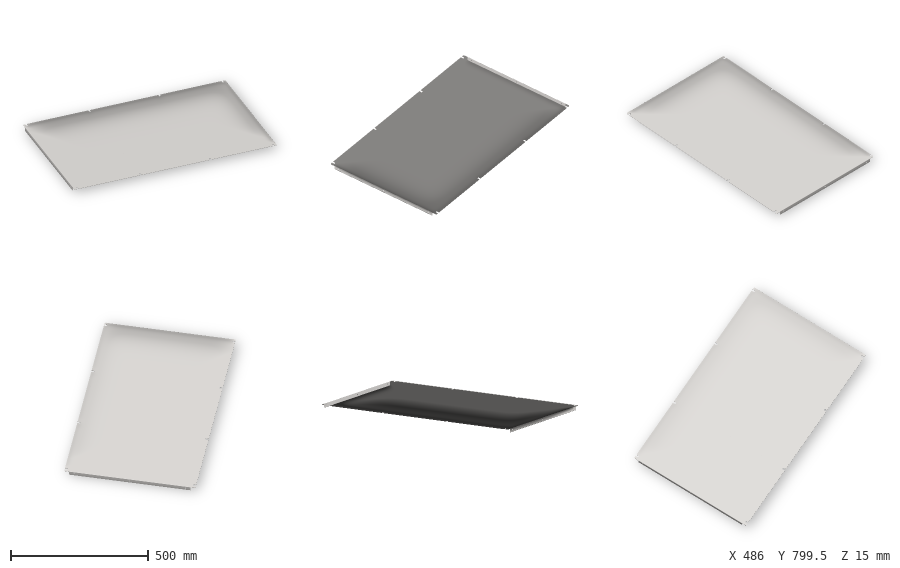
import cadquery as cq

panel_width = 486.0
panel_length = 799.5
overall_height = 15.0
sheet = 1.5
corner_radius = 5.0

flange_width = 450.0
bend_radius = 1.2
hole_diameter = 4.2
hole_pitch = 206.0
hole_height = overall_height / 2

slot_width = 7.0
slot_depth = 11.0
end_slot_inset = 13.0
middle_slot_pitch = 276.0


def make_panel():
    """Flat sheet with rounded corners, its top face at the overall height."""
    return (
        cq.Workplane("XY", origin=(0, 0, overall_height - sheet))
        .rect(panel_width, panel_length)
        .extrude(sheet)
        .edges("|Z")
        .fillet(corner_radius)
    )


def make_flange(end):
    """Upright flange flush with the panel end at -Y (end = -1) or +Y (end = 1)."""
    flange_y = end * (panel_length - sheet) / 2
    return (
        cq.Workplane("XY", origin=(0, flange_y, 0))
        .rect(flange_width, sheet)
        .extrude(overall_height)
    )


def make_edge_slots():
    """Cutters for round-ended slots open to both long edges."""
    end_y = panel_length / 2 - end_slot_inset
    middle_y = middle_slot_pitch / 2
    centers = [
        (side * panel_width / 2, y)
        for side in (-1, 1)
        for y in (-end_y, -middle_y, middle_y, end_y)
    ]
    return (
        cq.Workplane("XY")
        .pushPoints(centers)
        .slot2D(2 * slot_depth, slot_width)
        .extrude(overall_height)
    )


def make_flange_holes():
    """Cutters for the row of holes through both flanges."""
    return (
        cq.Workplane("XZ", origin=(0, 0, hole_height))
        .pushPoints([(-hole_pitch, 0), (0, 0), (hole_pitch, 0)])
        .circle(hole_diameter / 2)
        .extrude(panel_length / 2, both=True)
    )


def make_bend_rounding():
    """Cutter for the outside corners of both bends, over the flange width only."""
    block = cq.Workplane("XY").box(
        flange_width, panel_length, overall_height, centered=(True, True, False)
    )
    return block.cut(block.edges("|X and >Z").fillet(bend_radius))


result = (
    make_panel()
    .union(make_flange(-1))
    .union(make_flange(1))
    .cut(make_edge_slots())
    .cut(make_flange_holes())
    .cut(make_bend_rounding())
)